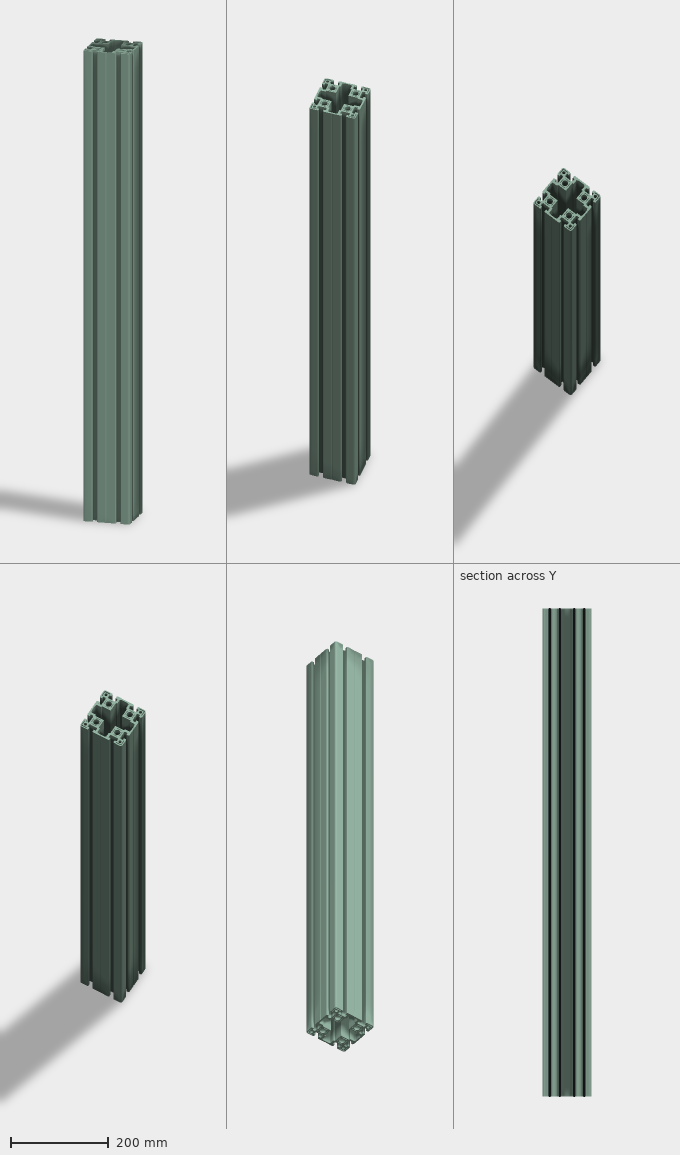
import cadquery as cq

SIDE = 100.0
LENGTH = 1000.0
CORNER_RADIUS = 4.5
HALF = SIDE / 2

SLOT_OFFSET = SIDE / 4
SLOT_OPENING = 10.0
MOUTH_CHAMFER = 1.5
LIP_THICKNESS = 6.0
SLOT_DEPTH = 13.2
SLOT_INNER_WIDTH = 19.4
SLOT_FLOOR_WIDTH = 16.0
SLOT_WALL_HEIGHT = 5.4

FLOOR_GROOVE_WIDTH = 1.0
FACE_GROOVE_WIDTH = 2.0

BORE_DIAMETER = 12.6
SLIT_OUTER_DISTANCE = 8.8
SLIT_OUTER_LENGTH = 12.0
SLIT_INNER_LENGTH = 9.0
SLIT_THICKNESS = 1.0

OUTER_WALL = 3.2
CAVITY_WIDTH = 27.0
CAVITY_WIDE_REACH = 34.5
CAVITY_TIP_WIDTH = 21.0
CAVITY_TIP_FLAT = 12.0
CAVITY_TIP_RISE = 1.5

CORNER_WALL = 2.2
CORNER_SLIT_THICKNESS = 1.6
CORNER_SLIT_REACH = 15.1
CORNER_HOLE_INSET = 8.7
CORNER_HOLE_DIAMETER = 6.6


def extrude_outline(points):
    return cq.Workplane("XY").polyline(points).close().extrude(LENGTH)


def mirrored(half_points, center_x=0.0):
    """Closed outline from its right half, mirrored about the line x = center_x."""
    right = [(center_x + x, y) for x, y in half_points]
    left = [(center_x - x, y) for x, y in reversed(half_points)]
    return right + left


def quarter_turns(cutter):
    """The cutter together with its copies turned about the bar axis."""
    copies = cutter
    for turn in range(1, 4):
        copies = copies.union(cutter.rotate((0, 0, 0), (0, 0, 1), 90 * turn))
    return copies


def v_groove(center_x, face_y, width):
    """Right-angled groove sunk from a surface that faces +Y."""
    half = width / 2
    return extrude_outline(
        [(center_x - half, face_y), (center_x + half, face_y), (center_x, face_y - half)]
    )


def t_slot(center_x):
    """T-slot in the +Y face with a chamfered mouth, tapered floor corners and a grooved floor."""
    mouth = SLOT_OPENING / 2
    inner = SLOT_INNER_WIDTH / 2
    lip_y = HALF - LIP_THICKNESS
    floor_y = HALF - SLOT_DEPTH
    half_outline = [
        (mouth + MOUTH_CHAMFER, HALF),
        (mouth, HALF - MOUTH_CHAMFER),
        (mouth, lip_y),
        (inner, lip_y),
        (inner, lip_y - SLOT_WALL_HEIGHT),
        (SLOT_FLOOR_WIDTH / 2, floor_y),
    ]
    slot = extrude_outline(mirrored(half_outline, center_x))
    return slot.union(v_groove(center_x, floor_y, FLOOR_GROOVE_WIDTH))


def cavity_arm():
    """One arm of the central cavity, from across the bar axis to the wall of the +Y face."""
    wide = CAVITY_WIDTH / 2
    narrow = CAVITY_TIP_WIDTH / 2
    tip_y = HALF - OUTER_WALL
    half_outline = [
        (wide, -wide),
        (wide, CAVITY_WIDE_REACH),
        (narrow, CAVITY_WIDE_REACH),
        (narrow, tip_y - CAVITY_TIP_RISE),
        (CAVITY_TIP_FLAT / 2, tip_y),
    ]
    return extrude_outline(mirrored(half_outline))


def screw_core():
    """Bore and surrounding slits of the core in the +X +Y quarter."""
    inner_y = SLIT_OUTER_DISTANCE - SLIT_THICKNESS
    slit = extrude_outline(
        mirrored([(SLIT_INNER_LENGTH / 2, inner_y), (SLIT_OUTER_LENGTH / 2, SLIT_OUTER_DISTANCE)])
    )
    bore = cq.Workplane("XY").circle(BORE_DIAMETER / 2).extrude(LENGTH)
    return bore.union(quarter_turns(slit)).translate((SLOT_OFFSET, SLOT_OFFSET, 0))


def corner_hollows():
    """L-shaped slit and round hole in the +X +Y corner."""
    outer = HALF - CORNER_WALL
    inner = outer - CORNER_SLIT_THICKNESS
    end = HALF - CORNER_SLIT_REACH
    slit = extrude_outline(
        [(outer, outer), (end, outer), (end, inner), (inner, inner), (inner, end), (outer, end)]
    )
    hole_center = HALF - CORNER_HOLE_INSET
    hole = (
        cq.Workplane("XY")
        .center(hole_center, hole_center)
        .circle(CORNER_HOLE_DIAMETER / 2)
        .extrude(LENGTH)
    )
    return slit.union(hole)


bar = cq.Workplane("XY").rect(SIDE, SIDE).extrude(LENGTH).edges("|Z").fillet(CORNER_RADIUS)

cutters = [
    cavity_arm(),
    t_slot(-SLOT_OFFSET),
    t_slot(SLOT_OFFSET),
    v_groove(0, HALF, FACE_GROOVE_WIDTH),
    screw_core(),
    corner_hollows(),
]
result = bar
for cutter in cutters:
    result = result.cut(quarter_turns(cutter))